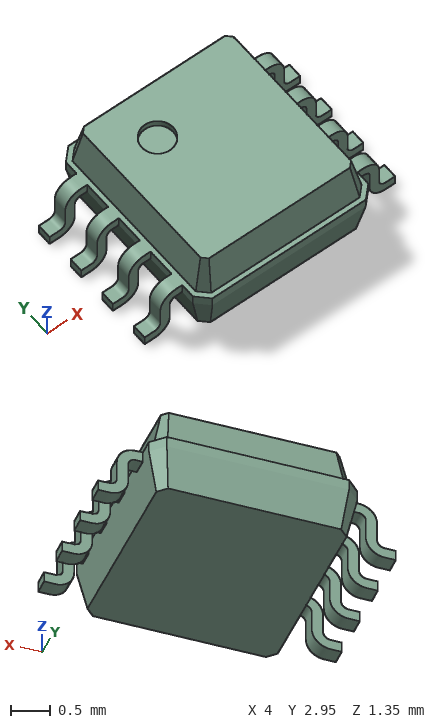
import cadquery as cq
import math

OVERALL_LENGTH = 4.0
TOTAL_HEIGHT = 1.35
STANDOFF = 0.05

BODY_LENGTH_X = 2.8
BODY_LENGTH_Y = 2.95
CORNER_CHAMFER = 0.175
BAND_HEIGHT = 0.15
LEDGE_WIDTH = 0.075
DRAFT_ANGLE = 12.0

MARK_DIAMETER = 0.5
MARK_DEPTH = 0.1
MARK_X = -0.5
MARK_Y = 0.575

LEADS_PER_SIDE = 4
LEAD_PITCH = 0.65
LEAD_WIDTH = 0.22
LEAD_THICKNESS = BAND_HEIGHT
INNER_BEND_RADIUS = 0.1
FOOT_FLAT = 0.15

BLOCK_HEIGHT = (TOTAL_HEIGHT - STANDOFF - BAND_HEIGHT) / 2
DRAFT_INSET = BLOCK_HEIGHT * math.tan(math.radians(DRAFT_ANGLE))
BAND_BOTTOM = STANDOFF + BLOCK_HEIGHT
BAND_TOP = BAND_BOTTOM + BAND_HEIGHT
OUTER_BEND_RADIUS = INNER_BEND_RADIUS + LEAD_THICKNESS


def body_section(inset):
    """Chamfered rectangle inset from the band outline; its chamfer leg shrinks by half the inset."""
    return (
        cq.Sketch()
        .rect(BODY_LENGTH_X - 2 * inset, BODY_LENGTH_Y - 2 * inset)
        .vertices()
        .chamfer(CORNER_CHAMFER - inset / 2)
    )


def body_layer(bottom_z, bottom_inset, height, top_inset):
    """Straight-walled solid between two body sections."""
    return (
        cq.Workplane("XY", origin=(0, 0, bottom_z))
        .placeSketch(
            body_section(bottom_inset),
            body_section(top_inset).moved(cq.Location(cq.Vector(0, 0, height))),
        )
        .loft(ruled=True)
    )


def make_body():
    """Band, the blocks that taper away from it and the pin 1 recess."""
    lower_block = body_layer(STANDOFF, DRAFT_INSET, BLOCK_HEIGHT, 0)
    band = body_layer(BAND_BOTTOM, 0, BAND_HEIGHT, 0)
    upper_block = body_layer(BAND_TOP, LEDGE_WIDTH, BLOCK_HEIGHT, LEDGE_WIDTH + DRAFT_INSET)
    mark = (
        cq.Workplane("XY", origin=(MARK_X, MARK_Y, TOTAL_HEIGHT - MARK_DEPTH))
        .circle(MARK_DIAMETER / 2)
        .extrude(MARK_DEPTH)
    )
    return band.union(lower_block).union(upper_block).cut(mark)


def make_lead():
    """One lead on the -X side, centred on Y = 0, its inner end just inside the band."""
    tip = -OVERALL_LENGTH / 2
    inner_end = -BODY_LENGTH_X / 2 + LEDGE_WIDTH
    lower_bend_start = tip + FOOT_FLAT
    shank_outer = lower_bend_start + INNER_BEND_RADIUS
    shank_inner = shank_outer + LEAD_THICKNESS
    upper_bend_end = shank_outer + OUTER_BEND_RADIUS
    lower_bend_top = OUTER_BEND_RADIUS
    upper_bend_bottom = BAND_TOP - OUTER_BEND_RADIUS
    profile = (
        cq.Workplane("XZ")
        .moveTo(tip, 0)
        .lineTo(lower_bend_start, 0)
        .radiusArc((shank_inner, lower_bend_top), -OUTER_BEND_RADIUS)
        .lineTo(shank_inner, upper_bend_bottom)
        .radiusArc((upper_bend_end, BAND_BOTTOM), INNER_BEND_RADIUS)
        .lineTo(inner_end, BAND_BOTTOM)
        .lineTo(inner_end, BAND_TOP)
        .lineTo(upper_bend_end, BAND_TOP)
        .radiusArc((shank_outer, upper_bend_bottom), -OUTER_BEND_RADIUS)
        .lineTo(shank_outer, lower_bend_top)
        .radiusArc((lower_bend_start, LEAD_THICKNESS), INNER_BEND_RADIUS)
        .lineTo(tip, LEAD_THICKNESS)
        .close()
    )
    return profile.extrude(LEAD_WIDTH / 2, both=True)


result = make_body()
left_lead = make_lead()
right_lead = left_lead.mirror("YZ")
for i in range(LEADS_PER_SIDE):
    lead_y = (i - (LEADS_PER_SIDE - 1) / 2) * LEAD_PITCH
    for lead in (left_lead, right_lead):
        result = result.union(lead.translate((0, lead_y, 0)))
result = result.clean()